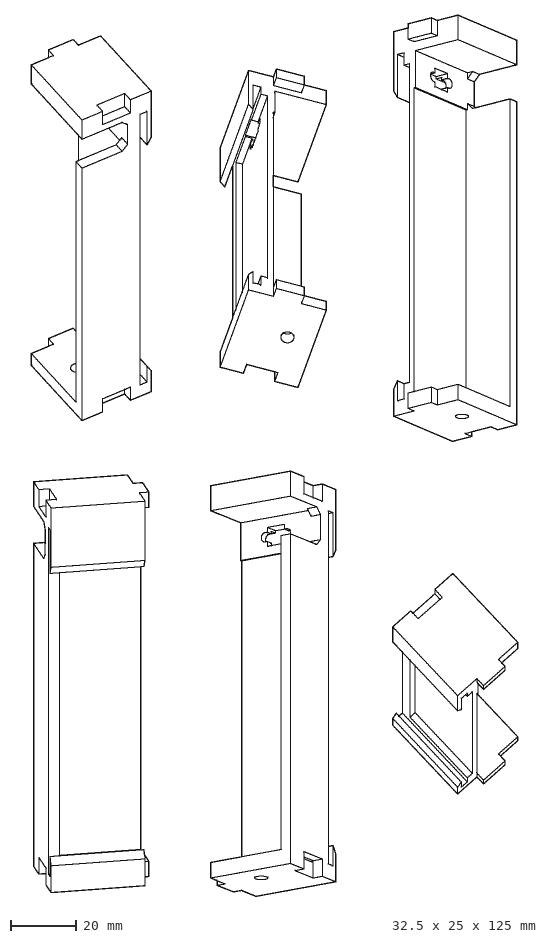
import cadquery as cq

HEIGHT = 125.0
WIDTH = 29.5
DEPTH = 25.0

FLOOR = 5.0
TOP_BLOCK = 8.0
SIDE_WALL = 3.5
PLATE_FRONT = 17.0
PLATE_BACK = 21.0
SIDE_INNER = WIDTH - SIDE_WALL

WINDOW_BOTTOM = 105.0
WINDOW_TOP = HEIGHT - TOP_BLOCK
WINDOW_BACK = 16.5
GUSSET = 2.0

HOOK_INNER = 23.5
TOP_SLOT_END = 117.2
TOP_HOOK_SHOULDER = 105.8
BOTTOM_SLOT_END = 4.8
BOTTOM_HOOK_SHOULDER = 8.8
HOOK_POINT = 2.5

RECESS_FRONT = 18.9
RECESS_BOTTOM = 9.8
RECESS_TOP = 113.2

TAB_LENGTH = 3.0
TAB_WIDTH = 9.0
TAB_HEIGHT = 5.0
SOCKET_LENGTH = 3.4
SOCKET_WIDTH = 10.0
SOCKET_HEIGHT = 5.5

SWITCH_WIDTH = 6.2
SWITCH_HEIGHT = 6.0
SWITCH_SLOT_LENGTH = 10.8
SWITCH_SLOT_HEIGHT = 3.0
SWITCH_X = 13.0
SWITCH_Z = (WINDOW_BOTTOM + WINDOW_TOP) / 2
HOLE_DIAMETER = 4.0


def box(x0, x1, y0, y1, z0, z1):
    """Box given by its limits along each axis."""
    return cq.Workplane("XY").box(x1 - x0, y1 - y0, z1 - z0, centered=False).translate((x0, y0, z0))


def side_profile(points, x0, x1):
    """Extrude a closed (y, z) outline from x0 to x1."""
    return cq.Workplane("YZ", origin=(x0, 0, 0)).polyline(points).close().extrude(x1 - x0)


def make_bracket():
    """Floor, back plate, top block and both pointed hooks as one profile."""
    return side_profile(
        [
            (0, 0),
            (DEPTH, 0),
            (DEPTH, BOTTOM_HOOK_SHOULDER),
            (HOOK_INNER, BOTTOM_HOOK_SHOULDER + HOOK_POINT),
            (HOOK_INNER, BOTTOM_SLOT_END),
            (PLATE_BACK, BOTTOM_SLOT_END),
            (PLATE_BACK, TOP_SLOT_END),
            (HOOK_INNER, TOP_SLOT_END),
            (HOOK_INNER, TOP_HOOK_SHOULDER - HOOK_POINT),
            (DEPTH, TOP_HOOK_SHOULDER),
            (DEPTH, HEIGHT),
            (0, HEIGHT),
            (0, WINDOW_TOP),
            (WINDOW_BACK, WINDOW_TOP),
            (WINDOW_BACK, WINDOW_BOTTOM),
            (PLATE_FRONT, WINDOW_BOTTOM),
            (PLATE_FRONT, FLOOR),
            (0, FLOOR),
        ],
        0,
        WIDTH,
    )


def make_side_wall():
    """Side wall up to the window, with a small gusset in each window corner."""
    wall = box(SIDE_INNER, WIDTH, 0, PLATE_BACK, 0, WINDOW_BOTTOM)
    for corner_z, direction in ((WINDOW_BOTTOM, 1), (WINDOW_TOP, -1)):
        gusset = side_profile(
            [
                (WINDOW_BACK, corner_z),
                (WINDOW_BACK - GUSSET, corner_z),
                (WINDOW_BACK, corner_z + direction * GUSSET),
            ],
            SIDE_INNER,
            WIDTH,
        )
        wall = wall.union(gusset)
    return wall


def centered_in_depth(x0, x1, width, z0, z1):
    """Block centred across the depth of the body."""
    return box(x0, x1, (DEPTH - width) / 2, (DEPTH + width) / 2, z0, z1)


def make_switch_opening():
    """Rectangular opening crossed by a longer round-ended slot, through the plate."""
    plane = cq.Workplane("XZ", origin=(SWITCH_X, PLATE_BACK, SWITCH_Z))
    thickness = PLATE_BACK - WINDOW_BACK
    window = plane.rect(SWITCH_WIDTH, SWITCH_HEIGHT).extrude(thickness)
    return window.union(plane.slot2D(SWITCH_SLOT_LENGTH, SWITCH_SLOT_HEIGHT).extrude(thickness))


result = make_bracket().union(make_side_wall())

for tab_bottom in (0, HEIGHT - TAB_HEIGHT):
    tab = centered_in_depth(-TAB_LENGTH, 0, TAB_WIDTH, tab_bottom, tab_bottom + TAB_HEIGHT)
    result = result.union(tab)

for socket_bottom in (0, HEIGHT - SOCKET_HEIGHT):
    socket_top = socket_bottom + SOCKET_HEIGHT
    socket = centered_in_depth(WIDTH - SOCKET_LENGTH, WIDTH, SOCKET_WIDTH, socket_bottom, socket_top)
    result = result.cut(socket)

result = result.cut(box(0, SIDE_INNER, RECESS_FRONT, PLATE_BACK, RECESS_BOTTOM, RECESS_TOP))
result = result.cut(make_switch_opening())

floor_hole = cq.Workplane("XY").center(SIDE_INNER / 2, PLATE_FRONT / 2).circle(HOLE_DIAMETER / 2).extrude(FLOOR)
result = result.cut(floor_hole)